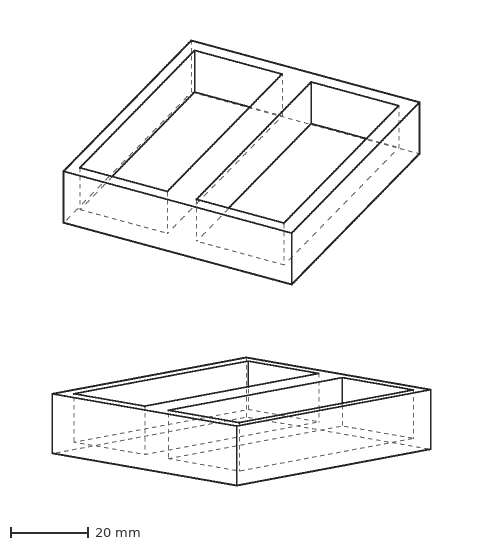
import cadquery as cq

body_width = 66.55
body_length = 72.5
body_height = 15.7

pocket_count = 2
pocket_width = 25.5
pocket_length = 65.0
pocket_pitch = 34.0
floor_thickness = 3.0
left_wall = 3.0
front_wall = 3.5

pocket_depth = body_height - floor_thickness
first_pocket_left = -body_width / 2 + left_wall
pocket_front = -body_length / 2 + front_wall


def make_body():
    """Plain rectangular block."""
    return cq.Workplane("XY").box(
        body_width, body_length, body_height, centered=(True, True, False)
    )


def make_pocket(left_edge):
    """Rectangular volume removed from the top face down to the floor."""
    return cq.Workplane("XY", origin=(left_edge, pocket_front, floor_thickness)).box(
        pocket_width, pocket_length, pocket_depth, centered=False
    )


result = make_body()
for index in range(pocket_count):
    result = result.cut(make_pocket(first_pocket_left + index * pocket_pitch))